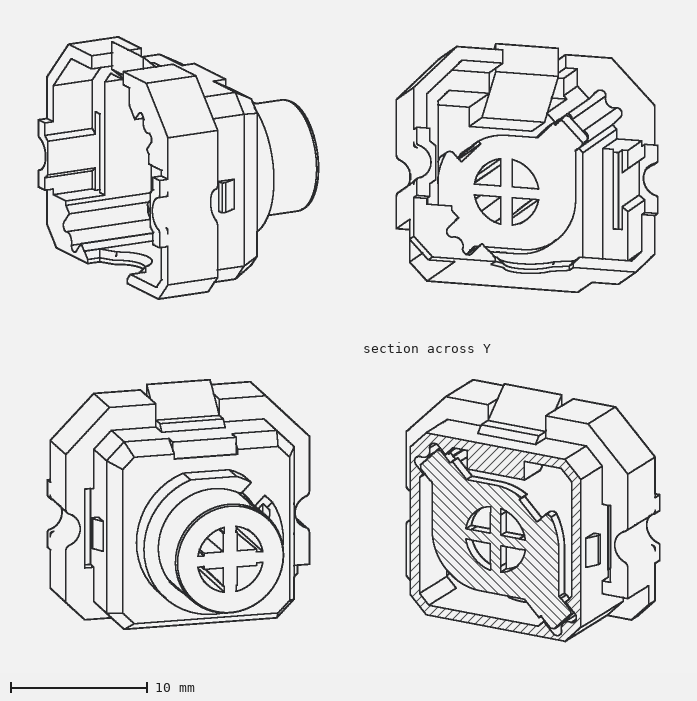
import cadquery as cq
import math

ROOT2 = math.sqrt(2)

PAD_FRONT = -0.7
PLATE_BACK = 1.0
FLANGE_FLOOR = 3.25
FLANGE_BACK = 4.14
PLUNGER_FRONT = 6.53
ARM_TIP_FRONT = 6.77
POCKET_FLOOR = 7.92
TAPER_START = 7.5
BODY_BACK = 9.02
BOSS_BACK = 10.98
FLAT_END = 13.62
HOOK_END = 14.67
BARREL_EDGE = 15.17
BARREL_TIP = 15.4

FLANGE_HALF = 9.28
FLANGE_TOP = 9.03
FLANGE_TOP_CORNER = 3.32
FLANGE_BOTTOM_CORNER = 1.45
BOTTOM = -6.92
FLANGE_WALL = 1.0
BODY_HALF = 7.15
BODY_TOP = 7.29
BODY_CORNER = 1.34
BODY_WALL = 0.8
FLOOR_TOP = -6.1
POCKET_CORNER = 0.78
WINDOW_HALF_HEIGHT = 2.99
LEFT_DIAGONAL = 9.66
RIGHT_DIAGONAL = 10.05
RIGHT_BLOCK_LEFT = 3.32

flange_inner = FLANGE_HALF - FLANGE_WALL
flange_inner_top = FLANGE_TOP - FLANGE_WALL
body_inner = BODY_HALF - BODY_WALL
body_inner_top = BODY_TOP - BODY_WALL

NOTCH_RADIUS = 1.26
NOTCH_DEPTH = 1.1
FLANGE_MOUTH_RADIUS = 0.43
PAD_MOUTH_RADIUS = 0.19
BULGE_INNER = 7.83
BULGE_HALF_HEIGHT = 1.28
BULGE_BASE_HALF_HEIGHT = 1.61
PAD_HALF_HEIGHT = 2.56

HOOK_TIP = 7.66
HOOK_HALF_HEIGHT = 1.13
HOOK_FRONT = 5.38
HOOK_LIP_BACK = 5.68
HOOK_RAMP_BACK = 6.66

LATCH_HALF_WIDTH = 2.41
LATCH_FRONT = 1.69
LATCH_TIP_TOP = 9.89
LATCH_TIP_BOTTOM = 7.77
LATCH_STEP_TOP = 7.81
LATCH_STEP_BACK = 5.18
LATCH_STEP_RAMP_BACK = 5.68
LATCH_BOTTOM = 5.05
LATCH_UNDERSIDE_BACK = 4.93
LATCH_BACK = 8.55
GAP_FLOOR_FRONT = 5.97
GAP_FLOOR_MIDDLE = 6.08
GAP_FLOOR_BACK = 6.12

SCALLOP_HALF_WIDTH = 3.5
SCALLOP_SIDE_LENGTH = 1.28
SCALLOP_SHOULDER = (2.2, 2.0)
SCALLOP_ARC_END = (1.95, 2.45)
SCALLOP_APEX = 3.38
SCALLOP_BEVEL = 0.5

BOSS_RADIUS = 5.3
BOSS_TOP = 5.0
BORE_RADIUS = 4.21
SLOT_HALF_WIDTH = 1.13

ARM_OFFSET = 0.13
CHANNEL_HALF_WIDTH = 1.28
CHANNEL_START = 6.3
LOBE_RADIUS = 0.4
LOBE_DISTANCE = 7.95
LOBE_START = 90.0
LOBE_END = -45.0
CHANNEL_DIP = 7.88

PLATE_HALF_WIDTH = 5.32
PLATE_HALF_HEIGHT = 4.25
PLATE_CORNER_RADIUS = 4.0
PLATE_LEFT_ARC_END = 151.0
PLATE_NOTCH_CORNER_ANGLE = 149.0
PLATE_TOP_ARC_START = 122.0
PLATE_NOTCH_MOUTH = 4.82
PLATE_NOTCH_CORNER = 5.23
ARM_HALF_WIDTH = 1.3
ARM_LENGTH = 6.42
ARM_TIP_HALF_WIDTH = 1.2
ARM_TIP_STEP = 7.05
ARM_TIP_X = 6.29
ARM_TIP_Z = 6.1
ARM_TIP_DIAGONAL = 11.0
BARREL_BASE_RADIUS = 4.15
BARREL_EDGE_RADIUS = 4.12
BARREL_TIP_RADIUS = 4.03
FLAT_DISTANCE = 3.85
FLAT_HALF_WIDTH = 1.04
HOOK_HALF_WIDTH = 0.37
HOOK_REACH = 4.62
TUBE_RADIUS = 2.5
RIB_HALF_X = 0.45
RIB_HALF_Z = 0.4
RIB_TIP_HALF_X = 0.54
RIB_TIP_HALF_Z = 0.61
TAPERED_RIB_HALF_LENGTH = 2.0

CLEAR = 11.13


def outline(points, y):
    """Closed polygon of (x, z) points in the plane at depth y."""
    return cq.Workplane("XZ", origin=(0, y, 0)).polyline(points).close()


def prism(points, y_start, y_end):
    """Prism along Y over a polygon of (x, z) points."""
    return outline(points, y_start).extrude(y_start - y_end)


def block(x_start, x_end, y_start, y_end, z_start, z_end):
    return cq.Workplane("XY").box(
        x_end - x_start, y_end - y_start, z_end - z_start, centered=False
    ).translate((x_start, y_start, z_start))


def cylinder(radius, y_start, y_end):
    return cq.Workplane("XZ", origin=(0, y_start, 0)).circle(radius).extrude(y_start - y_end)


def diagonal(along, across):
    """(x, z) point measured along the arm diagonal (+x +z) and across it (+x -z)."""
    return ((along + across) / ROOT2, (along - across) / ROOT2)


def key_prism(points, half_width):
    """Prism centred on the upper left radial plane, over (distance from axis, y) points."""
    plane = cq.Plane(origin=(0, 0, 0), xDir=(-1, 0, 1), normal=(-1, 0, -1))
    return cq.Workplane(plane).polyline(points).close().extrude(half_width, both=True)


def key_slot(half_width, distance, y_start, y_end):
    return key_prism(
        [(distance, y_start), (CLEAR, y_start), (CLEAR, y_end), (distance, y_end)], half_width
    )


def mirrored_pair(shape):
    """The shape and its mirror image on the other side of x = 0."""
    return shape.union(shape.mirror("YZ"))


def turned_pair(shape):
    """The shape and its copy turned half a turn about the plunger axis."""
    return shape.union(shape.rotate((0, 0, 0), (0, 1, 0), 180))




def body_outline(inset):
    """Eight-sided outline of the body, drawn in by inset on every side."""
    half = BODY_HALF - inset
    top = BODY_TOP - inset
    bottom = BOTTOM + inset
    corner = BODY_CORNER - inset * (2 - ROOT2)
    return [
        (-half, bottom + corner),
        (-half, top - corner),
        (-half + corner, top),
        (half - corner, top),
        (half, top - corner),
        (half, bottom + corner),
        (half - corner, bottom),
        (-half + corner, bottom),
    ]


def make_body():
    straight = prism(body_outline(0), 0, TAPER_START)
    taper = (
        outline(body_outline(0), TAPER_START)
        .workplane(offset=TAPER_START - BODY_BACK)
        .polyline(body_outline(BODY_WALL))
        .close()
        .loft(ruled=True)
    )
    return straight.union(taper)


def make_flange():
    points = [
        (-FLANGE_HALF, BOTTOM + FLANGE_BOTTOM_CORNER),
        (-FLANGE_HALF, FLANGE_TOP - FLANGE_TOP_CORNER),
        (-FLANGE_HALF + FLANGE_TOP_CORNER, FLANGE_TOP),
        (FLANGE_HALF - FLANGE_TOP_CORNER, FLANGE_TOP),
        (FLANGE_HALF, FLANGE_TOP - FLANGE_TOP_CORNER),
        (FLANGE_HALF, BOTTOM + FLANGE_BOTTOM_CORNER),
        (FLANGE_HALF - FLANGE_BOTTOM_CORNER, BOTTOM),
        (-FLANGE_HALF + FLANGE_BOTTOM_CORNER, BOTTOM),
    ]
    lower_left_step = block(
        -CLEAR, BODY_CORNER - BODY_HALF, PLATE_BACK, FLANGE_BACK,
        -CLEAR, -WINDOW_HALF_HEIGHT - FLANGE_WALL,
    )
    return prism(points, 0, FLANGE_BACK).cut(lower_left_step)


def make_front_pocket():
    top_corner = FLANGE_TOP_CORNER - FLANGE_WALL * (2 - ROOT2)
    points = [
        (-body_inner, -WINDOW_HALF_HEIGHT),
        (-flange_inner, -WINDOW_HALF_HEIGHT),
        (-flange_inner, flange_inner_top - top_corner),
        (-flange_inner + top_corner, flange_inner_top),
        (RIGHT_BLOCK_LEFT, flange_inner_top),
        (RIGHT_BLOCK_LEFT, RIGHT_DIAGONAL - RIGHT_BLOCK_LEFT),
        (body_inner, RIGHT_DIAGONAL - body_inner),
        (body_inner, WINDOW_HALF_HEIGHT),
        (flange_inner, WINDOW_HALF_HEIGHT),
        (flange_inner, FLOOR_TOP + POCKET_CORNER),
        (flange_inner - POCKET_CORNER, FLOOR_TOP),
        (-LEFT_DIAGONAL - FLOOR_TOP, FLOOR_TOP),
        (-body_inner, -LEFT_DIAGONAL + body_inner),
    ]
    return prism(points, 0, FLANGE_FLOOR)


def make_rear_pocket():
    top_corner = BODY_CORNER - BODY_WALL * (2 - ROOT2)
    points = [
        (-body_inner, -LEFT_DIAGONAL + body_inner),
        (-body_inner, body_inner_top - top_corner),
        (-body_inner + top_corner, body_inner_top),
        (RIGHT_DIAGONAL - body_inner_top, body_inner_top),
        (body_inner, RIGHT_DIAGONAL - body_inner),
        (body_inner, FLOOR_TOP + POCKET_CORNER),
        (body_inner - POCKET_CORNER, FLOOR_TOP),
        (-LEFT_DIAGONAL - FLOOR_TOP, FLOOR_TOP),
    ]
    return prism(points, 0, POCKET_FLOOR)


def make_windows():
    """Slots through the flange floor beside the body."""
    return mirrored_pair(
        block(
            -BULGE_INNER, -BODY_HALF, FLANGE_FLOOR, FLANGE_BACK,
            -WINDOW_HALF_HEIGHT, WINDOW_HALF_HEIGHT,
        )
    )


def make_bulges_and_pads():
    """Thickened wall behind each notch, and the pad that stands proud of the front rim."""
    bulge = prism(
        [
            (-flange_inner, -BULGE_BASE_HALF_HEIGHT),
            (-flange_inner, BULGE_BASE_HALF_HEIGHT),
            (-BULGE_INNER, BULGE_HALF_HEIGHT),
            (-BULGE_INNER, -BULGE_HALF_HEIGHT),
        ],
        PAD_FRONT,
        FLANGE_FLOOR,
    )
    pad = block(-FLANGE_HALF, -flange_inner, PAD_FRONT, 0, -PAD_HALF_HEIGHT, PAD_HALF_HEIGHT)
    return mirrored_pair(bulge.union(pad))


def make_notch(mouth_radius, y_start, y_end):
    """Round notch in the left side whose mouth is rounded off with mouth_radius."""
    centre_x = -FLANGE_HALF + NOTCH_DEPTH - NOTCH_RADIUS
    reach = NOTCH_RADIUS + mouth_radius
    mouth_x = -FLANGE_HALF + mouth_radius
    mouth_z = math.sqrt(reach**2 - (mouth_x - centre_x) ** 2)
    join_x = centre_x + (mouth_x - centre_x) * NOTCH_RADIUS / reach
    join_z = mouth_z * NOTCH_RADIUS / reach
    join_angle = 2 * math.pi + math.atan2(join_z - mouth_z, join_x - mouth_x)
    middle_angle = (math.pi + join_angle) / 2
    middle_x = mouth_x + mouth_radius * math.cos(middle_angle)
    middle_z = mouth_z + mouth_radius * math.sin(middle_angle)
    return (
        cq.Workplane("XZ", origin=(0, y_start, 0))
        .moveTo(-CLEAR, mouth_z)
        .lineTo(-FLANGE_HALF, mouth_z)
        .threePointArc((middle_x, middle_z), (join_x, join_z))
        .threePointArc((centre_x + NOTCH_RADIUS, 0), (join_x, -join_z))
        .threePointArc((middle_x, -middle_z), (-FLANGE_HALF, -mouth_z))
        .lineTo(-CLEAR, -mouth_z)
        .close()
        .extrude(y_start - y_end)
    )


def make_notches():
    flange_notch = make_notch(FLANGE_MOUTH_RADIUS, 0, FLANGE_BACK)
    pad_notch = make_notch(PAD_MOUTH_RADIUS, PAD_FRONT, 0)
    return mirrored_pair(flange_notch.union(pad_notch))


def make_side_hooks():
    profile = [
        (-body_inner, HOOK_FRONT),
        (-HOOK_TIP, HOOK_FRONT),
        (-HOOK_TIP, HOOK_LIP_BACK),
        (-BODY_HALF, HOOK_RAMP_BACK),
        (-body_inner, HOOK_RAMP_BACK),
    ]
    hook = (
        cq.Workplane("XY")
        .polyline(profile)
        .close()
        .extrude(HOOK_HALF_HEIGHT, both=True)
    )
    return mirrored_pair(hook)


def make_latch():
    profile = [
        (LATCH_FRONT, LATCH_TIP_TOP),
        (FLANGE_BACK, LATCH_STEP_TOP),
        (LATCH_STEP_BACK, LATCH_STEP_TOP),
        (LATCH_STEP_RAMP_BACK, BODY_TOP),
        (LATCH_BACK, BODY_TOP),
        (LATCH_BACK, LATCH_BOTTOM),
        (LATCH_UNDERSIDE_BACK, LATCH_BOTTOM),
        (LATCH_FRONT, LATCH_TIP_BOTTOM),
    ]
    return cq.Workplane("YZ").polyline(profile).close().extrude(LATCH_HALF_WIDTH, both=True)


def make_latch_opening():
    """Opening in the top of the flange that frees the latch."""
    return block(
        -LATCH_HALF_WIDTH, LATCH_HALF_WIDTH, 0, FLANGE_BACK, body_inner_top, CLEAR
    )


def make_latch_gap():
    """Gap between the latch and the back of the body, with a rounded floor."""
    gap_middle = (LATCH_BACK + BODY_BACK) / 2
    return (
        cq.Workplane("YZ")
        .moveTo(LATCH_BACK, CLEAR)
        .lineTo(LATCH_BACK, GAP_FLOOR_FRONT)
        .threePointArc((gap_middle, GAP_FLOOR_MIDDLE), (BODY_BACK, GAP_FLOOR_BACK))
        .lineTo(BODY_BACK, CLEAR)
        .close()
        .extrude(LATCH_HALF_WIDTH, both=True)
    )


def make_floor_scallop():
    """Cut-out in the front edge of the floor, bevelled on its upper side."""
    shoulder_x, shoulder_y = SCALLOP_SHOULDER
    arc_x, arc_y = SCALLOP_ARC_END
    upper_edge = (
        cq.Workplane("XY", origin=(0, 0, FLOOR_TOP))
        .moveTo(SCALLOP_HALF_WIDTH, -CLEAR)
        .lineTo(SCALLOP_HALF_WIDTH, SCALLOP_SIDE_LENGTH)
        .lineTo(shoulder_x, shoulder_y)
        .lineTo(arc_x, arc_y)
        .threePointArc((0, SCALLOP_APEX), (-arc_x, arc_y))
        .lineTo(-shoulder_x, shoulder_y)
        .lineTo(-SCALLOP_HALF_WIDTH, SCALLOP_SIDE_LENGTH)
        .lineTo(-SCALLOP_HALF_WIDTH, -CLEAR)
        .close()
    )
    bevel = upper_edge.extrude(-SCALLOP_BEVEL, taper=45)
    through = bevel.faces("<Z").wires().toPending().extrude(BOTTOM - FLOOR_TOP, combine=False)
    return bevel.union(through)


def make_boss():
    boss = cylinder(BOSS_RADIUS, BODY_BACK, BOSS_BACK)
    boss = boss.cut(block(-CLEAR, CLEAR, BODY_BACK, BOSS_BACK, BOSS_TOP, CLEAR))
    return boss.cut(key_slot(SLOT_HALF_WIDTH, FLAT_DISTANCE, BODY_BACK, BOSS_BACK))


def make_channels():
    """Channels for the arm tips, each ending in two round lobes."""
    lobe_across = CHANNEL_HALF_WIDTH - LOBE_RADIUS
    lobe_middle = (LOBE_START + LOBE_END) / 2

    def lobe_point(degrees, side):
        angle = math.radians(degrees)
        along = LOBE_DISTANCE + LOBE_RADIUS * math.cos(angle)
        across = lobe_across + LOBE_RADIUS * math.sin(angle)
        return diagonal(along, ARM_OFFSET + side * across)

    channel = (
        cq.Workplane("XZ")
        .moveTo(*diagonal(CHANNEL_START, ARM_OFFSET - CHANNEL_HALF_WIDTH))
        .lineTo(*lobe_point(LOBE_START, -1))
        .threePointArc(lobe_point(lobe_middle, -1), lobe_point(LOBE_END, -1))
        .threePointArc(diagonal(CHANNEL_DIP, ARM_OFFSET), lobe_point(LOBE_END, 1))
        .threePointArc(lobe_point(lobe_middle, 1), lobe_point(LOBE_START, 1))
        .lineTo(*diagonal(CHANNEL_START, ARM_OFFSET + CHANNEL_HALF_WIDTH))
        .close()
        .extrude(-POCKET_FLOOR)
    )
    return turned_pair(channel)


def make_housing():
    housing = make_body().union(make_flange())
    housing = housing.cut(make_front_pocket()).cut(make_rear_pocket()).cut(make_windows())
    housing = housing.union(make_bulges_and_pads()).cut(make_notches())
    housing = housing.union(make_side_hooks())
    housing = housing.cut(make_latch_opening()).union(make_latch()).cut(make_latch_gap())
    housing = housing.cut(make_floor_scallop()).cut(make_channels())
    housing = housing.union(make_boss())
    return housing.cut(cylinder(BORE_RADIUS, PLUNGER_FRONT, BOSS_BACK))




def circle_point(radius, degrees):
    angle = math.radians(degrees)
    return (radius * math.cos(angle), radius * math.sin(angle))


def make_plate():
    """Flat plate with one large rounded corner and an upper left edge that follows the barrel."""
    corner_x = PLATE_HALF_WIDTH - PLATE_CORNER_RADIUS
    corner_z = -PLATE_HALF_HEIGHT + PLATE_CORNER_RADIUS
    corner_mid_x, corner_mid_z = circle_point(PLATE_CORNER_RADIUS, -45)
    return (
        cq.Workplane("XZ", origin=(0, PLUNGER_FRONT, 0))
        .moveTo(0, PLATE_HALF_HEIGHT)
        .lineTo(PLATE_HALF_WIDTH, PLATE_HALF_HEIGHT)
        .lineTo(PLATE_HALF_WIDTH, corner_z)
        .threePointArc(
            (corner_x + corner_mid_x, corner_z + corner_mid_z), (corner_x, -PLATE_HALF_HEIGHT)
        )
        .lineTo(-PLATE_HALF_WIDTH, -PLATE_HALF_HEIGHT)
        .lineTo(-PLATE_HALF_WIDTH, 0)
        .threePointArc(
            circle_point(PLATE_HALF_WIDTH, (180 + PLATE_LEFT_ARC_END) / 2),
            circle_point(PLATE_HALF_WIDTH, PLATE_LEFT_ARC_END),
        )
        .threePointArc(
            circle_point(PLATE_NOTCH_CORNER, PLATE_NOTCH_CORNER_ANGLE),
            diagonal(-FLAT_HALF_WIDTH, -PLATE_NOTCH_MOUTH),
        )
        .lineTo(*circle_point(PLATE_HALF_HEIGHT, PLATE_TOP_ARC_START))
        .threePointArc(
            circle_point(PLATE_HALF_HEIGHT, (90 + PLATE_TOP_ARC_START) / 2),
            (0, PLATE_HALF_HEIGHT),
        )
        .close()
        .extrude(PLUNGER_FRONT - POCKET_FLOOR)
    )


def make_arms():
    """Two arms along the diagonal, each with a shifted tip cut to the shape of the corner."""

    def strip(start, end, offset, half_width, y_start):
        points = [
            diagonal(start, offset - half_width),
            diagonal(end, offset - half_width),
            diagonal(end, offset + half_width),
            diagonal(start, offset + half_width),
        ]
        return prism(points, y_start, POCKET_FLOOR)

    tip_limit = prism(
        [
            (0, 0),
            (0, ARM_TIP_Z),
            (ARM_TIP_DIAGONAL - ARM_TIP_Z, ARM_TIP_Z),
            (ARM_TIP_X, ARM_TIP_DIAGONAL - ARM_TIP_X),
            (ARM_TIP_X, 0),
        ],
        PLUNGER_FRONT,
        POCKET_FLOOR,
    )
    arm = strip(0, ARM_LENGTH, 0, ARM_HALF_WIDTH, PLUNGER_FRONT)
    neck = strip(ARM_LENGTH, ARM_TIP_STEP, ARM_OFFSET, ARM_TIP_HALF_WIDTH, PLUNGER_FRONT)
    tip = strip(ARM_TIP_STEP, CLEAR, ARM_OFFSET, ARM_TIP_HALF_WIDTH, ARM_TIP_FRONT)
    return turned_pair(arm.union(neck).union(tip.intersect(tip_limit)))


def make_barrel():
    profile = [
        (PLUNGER_FRONT, 0),
        (PLUNGER_FRONT, BARREL_BASE_RADIUS),
        (BARREL_EDGE, BARREL_EDGE_RADIUS),
        (BARREL_TIP, BARREL_TIP_RADIUS),
        (BARREL_TIP, 0),
    ]
    return cq.Workplane("YZ").polyline(profile).close().revolve(360, (0, 0, 0), (1, 0, 0))


def make_rib(front_half, tip_half, half_length, plane):
    """Rib across the tube, thickening towards the tip; the plane is square to its length."""
    thickness = [
        (PLUNGER_FRONT, front_half),
        (BARREL_TIP, tip_half),
        (BARREL_TIP, -tip_half),
        (PLUNGER_FRONT, -front_half),
    ]
    if plane == "XY":
        thickness = [(across, y) for y, across in thickness]
    return cq.Workplane(plane).polyline(thickness).close().extrude(half_length, both=True)


def make_tube():
    """Hole through the barrel, less the straight ribs and the tapered ribs inside them."""
    tube = cylinder(TUBE_RADIUS, PLUNGER_FRONT, BARREL_TIP)
    tube = tube.cut(make_rib(RIB_HALF_X, RIB_HALF_X, TUBE_RADIUS, "XY"))
    tube = tube.cut(make_rib(RIB_HALF_Z, RIB_HALF_Z, TUBE_RADIUS, "YZ"))
    tube = tube.cut(make_rib(RIB_HALF_X, RIB_TIP_HALF_X, TAPERED_RIB_HALF_LENGTH, "XY"))
    return tube.cut(make_rib(RIB_HALF_Z, RIB_TIP_HALF_Z, TAPERED_RIB_HALF_LENGTH, "YZ"))


def make_barrel_hook():
    """Ramped hook that overhangs the end of the key flat."""
    return key_prism(
        [
            (TUBE_RADIUS, FLAT_END),
            (HOOK_REACH, FLAT_END),
            (BARREL_EDGE_RADIUS, HOOK_END),
            (TUBE_RADIUS, HOOK_END),
        ],
        HOOK_HALF_WIDTH,
    )


def make_plunger():
    plunger = make_plate().union(make_arms()).union(make_barrel())
    plunger = plunger.cut(key_slot(FLAT_HALF_WIDTH, FLAT_DISTANCE, PLUNGER_FRONT, FLAT_END))
    return plunger.union(make_barrel_hook()).cut(make_tube())


housing = make_housing()
plunger = make_plunger()
result = cq.Compound.makeCompound([housing.solids().val(), plunger.solids().val()])